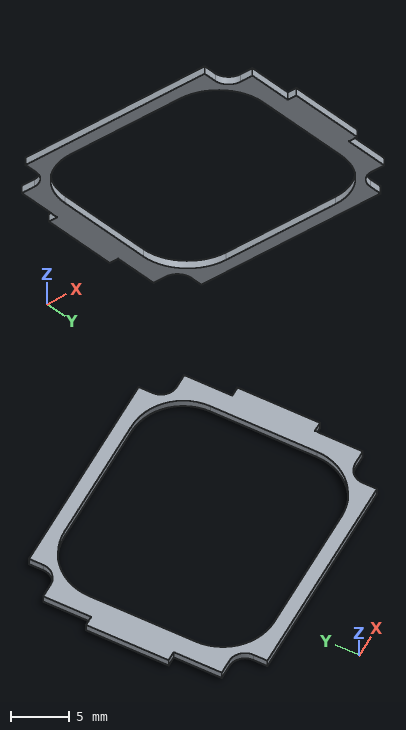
import cadquery as cq

length = 28.1
width = 23.1
thickness = 0.81

tab_projection = 0.95
tab_width = 8.0
body_length = length - 2 * tab_projection
body_width = 17.3
end_bar_length = 20.35
notch_radius = 1.52

window_length = 22.45
window_width = 20.35
window_radius = 5.0


def plate(size_x, size_y):
    """Rectangular plate centred on the origin in X and Y, with its base at Z = 0."""
    return cq.Workplane("XY").rect(size_x, size_y).extrude(thickness)


frame = plate(body_length, body_width).union(plate(end_bar_length, width))

corner_points = cq.Workplane("XY").rect(end_bar_length, body_width).vertices().vals()
for corner in corner_points:
    edge = cq.selectors.NearestToPointSelector((corner.X, corner.Y, thickness / 2))
    frame = frame.edges("|Z").edges(edge).fillet(notch_radius)

frame = frame.union(plate(length, tab_width))

window = plate(window_length, window_width).edges("|Z").fillet(window_radius)

result = frame.cut(window)